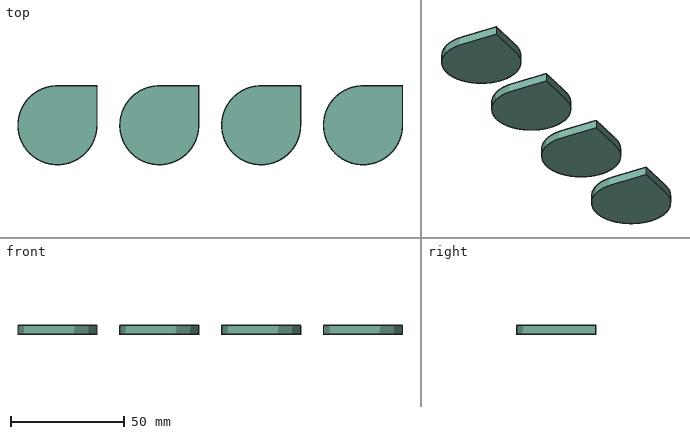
import cadquery as cq
import math

overall_length = 170.0
token_count = 4
token_width = 35.0
token_thickness = 4.0
top_edge_fillet = 0.4

token_radius = token_width / 2
token_pitch = (overall_length - token_width) / (token_count - 1)


def make_token(center_x):
    """Teardrop token: a disc with one square corner (+X +Y) and a rounded top edge."""
    arc_middle = -token_radius * math.sqrt(0.5)
    outline = (
        cq.Workplane("XY")
        .center(center_x, 0)
        .moveTo(0, token_radius)
        .lineTo(token_radius, token_radius)
        .lineTo(token_radius, 0)
        .threePointArc((arc_middle, arc_middle), (0, token_radius))
        .close()
    )
    return outline.extrude(token_thickness).faces(">Z").edges().fillet(top_edge_fillet)


first_center_x = -token_pitch * (token_count - 1) / 2
tokens = []
for index in range(token_count):
    token = make_token(first_center_x + index * token_pitch)
    tokens.append(token.val())

result = cq.Compound.makeCompound(tokens)